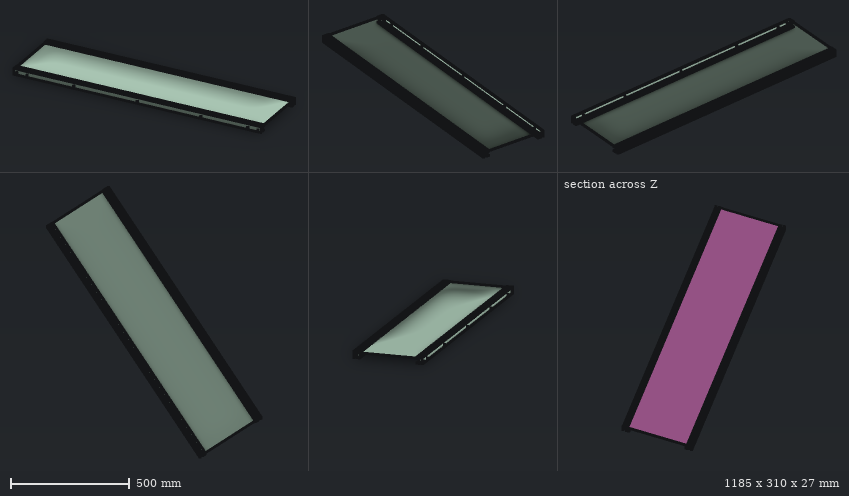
import cadquery as cq

LENGTH = 1185.0
WIDTH = 310.0
HEIGHT = 27.0

FLANGE_THICKNESS = 2.0
WALL_THICKNESS = 4.0
FLANGE_WIDTH = 28.0
INNER_WALL_OFFSET = 14.0

PANEL_THICKNESS = 3.0
PANEL_LENGTH = 1183.0
PANEL_WIDTH = 268.0

HOLE_DIAMETER = 4.9
WALL_HOLE_HEIGHT = 10.0
WALL_HOLE_OFFSETS = (305.0, 529.0, 578.0)
FLANGE_HOLE_INSET = 10.0
FLANGE_HOLE_OFFSETS = (305.0, 543.0)

OUTER_Y = WIDTH / 2
INNER_WALL_Y = OUTER_Y - INNER_WALL_OFFSET
LIP_END_Y = OUTER_Y - FLANGE_WIDTH
GROOVE_END_Y = INNER_WALL_Y - WALL_THICKNESS
PANEL_Y = PANEL_WIDTH / 2
PANEL_TOP = HEIGHT - FLANGE_THICKNESS
PANEL_BOTTOM = PANEL_TOP - PANEL_THICKNESS


def bar(y_start, y_end, z_start, z_end, length=LENGTH):
    """Rectangular bar along X, centred on the middle of the length."""
    return (
        cq.Workplane("XY")
        .box(length, y_end - y_start, z_end - z_start, centered=False)
        .translate((-length / 2, y_start, z_start))
    )


def mirrored_positions(offsets):
    """X positions of a hole in the middle and of one pair for each offset."""
    return [0.0, *offsets, *(-offset for offset in offsets)]


def rail_profile():
    """Rail on the +Y side: outer wall, top flange and an inward-facing channel."""
    top_flange = bar(LIP_END_Y, OUTER_Y, PANEL_TOP, HEIGHT)
    outer_wall = bar(OUTER_Y - WALL_THICKNESS, OUTER_Y, 0, HEIGHT)
    inner_wall = bar(GROOVE_END_Y, INNER_WALL_Y, 0, HEIGHT)
    upper_lip = bar(LIP_END_Y, INNER_WALL_Y, PANEL_BOTTOM - FLANGE_THICKNESS, PANEL_BOTTOM)
    lower_lip = bar(LIP_END_Y, INNER_WALL_Y, 0, FLANGE_THICKNESS)
    return top_flange.union(outer_wall).union(inner_wall).union(upper_lip).union(lower_lip)


def wall_holes():
    """Cutters through the outer wall only."""
    return (
        cq.Workplane("XZ", origin=(0, OUTER_Y, 0))
        .pushPoints([(x, WALL_HOLE_HEIGHT) for x in mirrored_positions(WALL_HOLE_OFFSETS)])
        .circle(HOLE_DIAMETER / 2)
        .extrude(WALL_THICKNESS)
    )


def flange_holes():
    """Cutters through the top flange, between the outer and the inner wall."""
    hole_y = OUTER_Y - FLANGE_HOLE_INSET
    return (
        cq.Workplane("XY", origin=(0, 0, PANEL_TOP))
        .pushPoints([(x, hole_y) for x in mirrored_positions(FLANGE_HOLE_OFFSETS)])
        .circle(HOLE_DIAMETER / 2)
        .extrude(FLANGE_THICKNESS)
    )


def make_rail(side):
    """One rail; side is +1 for the +Y edge and -1 for the -Y edge."""
    rail = rail_profile().cut(wall_holes()).cut(flange_holes())
    return rail if side > 0 else rail.mirror("XZ")


def make_panel():
    """Flat panel with its long edges in the grooves of the two rails."""
    return bar(-PANEL_Y, PANEL_Y, PANEL_BOTTOM, PANEL_TOP, PANEL_LENGTH)


panel = make_panel()
rails = [make_rail(side) for side in (-1, 1)]

result = cq.Compound.makeCompound([panel.val(), *(rail.val() for rail in rails)])